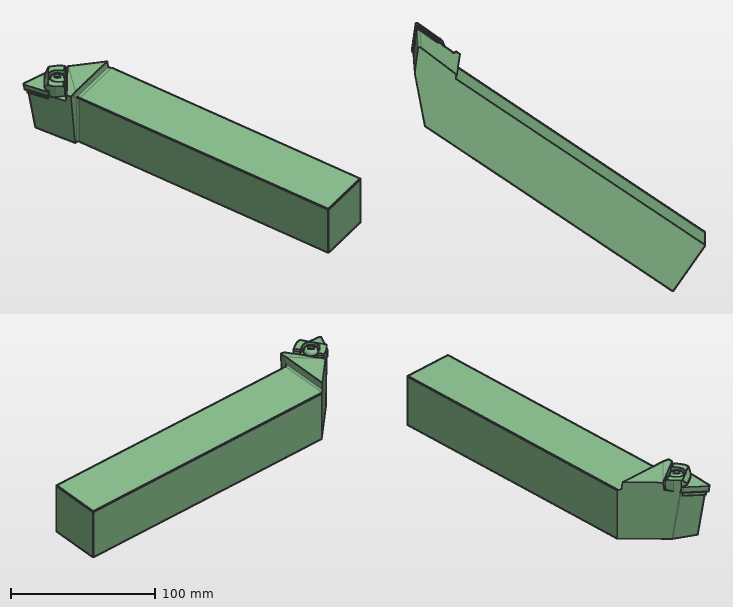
import cadquery as cq
import math

LENGTH = 250.0
SHANK_SIZE = 40.0
SHANK_CHAMFER = 0.5
NOSE_OFFSET = 10.0

HEAD_TOP = 46.2
HEAD_END = 39.2
WALL_DRAFT = 0.1
WALL_FILLET = 1.5
BACK_CORNER_X = 41.2
FLANK_INSET = 1.0
FLANK_NOSE_RADIUS = 1.2
BACK_EDGE_RADIUS = 2.0

TILT_SLOPE = 0.105
LEAD_ANGLE = 3.0
HALF_CORNER = 30.0
BISECTOR_ANGLE = LEAD_ANGLE + HALF_CORNER

INSERT_CIRCLE = 12.8
INSERT_THICKNESS = 4.8
INSERT_NOSE_RADIUS = 1.0
INSERT_HEIGHT = 1.5 * INSERT_CIRCLE
SHIM_INSET = 0.8
SHIM_THICKNESS = 3.0

POCKET_WALL = 30.2
POCKET_WALL_LEAN = 1.8
RIM_HEIGHT = 1.2

CLAMP_TOP = 48.0
CLAMP_FRONT = 15.5
CLAMP_BACK = 30.0
CLAMP_WIDTH = 22.2
CLAMP_CORNER_RADIUS = 7.5
CLAMP_BEVEL_RUN = 2.8
CLAMP_BEVEL_HEIGHT = 4.5
CLAMP_BACK_CHAMFER = 1.0
SCREW_AT = 24.5
SLOT_WIDTH = 12.5
SLOT_DEPTH = 3.5
SCREW_DIAMETER = 10.5
SCREW_DOME_RADIUS = 3.0
SOCKET_DIAMETER = 4.5
SOCKET_DEPTH = 2.5

SELECT_MARGIN = 0.2
REACH = 75.0

bisector = math.radians(BISECTOR_ANGLE)
seat_normal = cq.Vector(-TILT_SLOPE, -TILT_SLOPE, 1).normalized()
level_across = cq.Vector(-math.sin(bisector), math.cos(bisector), 0)
seat_along = level_across.cross(seat_normal).normalized()
seat_across = seat_normal.cross(seat_along)
corner_to_arc_center = 2 * INSERT_NOSE_RADIUS
corner = cq.Vector(
    INSERT_NOSE_RADIUS - corner_to_arc_center * math.cos(bisector),
    INSERT_NOSE_RADIUS - corner_to_arc_center * math.sin(bisector) - NOSE_OFFSET,
    SHANK_SIZE,
)
seat_frame = cq.Plane(corner, seat_along, seat_normal)
profile_frame = cq.Plane(corner, seat_along, -seat_across)
clamp_frame = cq.Plane(
    cq.Vector(corner.x, corner.y, CLAMP_TOP),
    cq.Vector(math.cos(bisector), math.sin(bisector), 0),
    cq.Vector(0, 0, 1),
)
clamp_profile_frame = cq.Plane(clamp_frame.origin, clamp_frame.xDir, -level_across)


def triangle_prism(inset, height, top, bottom, nose_radius):
    """Equilateral prism in the seat frame, its edges moved inward by `inset`."""
    tip = 2 * inset
    half_base = (height - tip) * math.tan(math.radians(HALF_CORNER))
    return (
        cq.Workplane(seat_frame)
        .workplane(offset=bottom)
        .polyline([(tip, 0), (height, -half_base), (height, half_base)])
        .close()
        .extrude(top - bottom)
        .edges(cq.selectors.ParallelDirSelector(seat_normal))
        .fillet(nose_radius)
    )


def make_shank():
    corner_cut = BACK_CORNER_X - HEAD_END
    outline = [
        (HEAD_END, 0),
        (LENGTH, 0),
        (LENGTH, SHANK_SIZE),
        (BACK_CORNER_X, SHANK_SIZE),
        (HEAD_END, SHANK_SIZE - corner_cut),
    ]
    return cq.Workplane("XY").polyline(outline).close().extrude(SHANK_SIZE)


def make_plan_column():
    """Upright column between the 45 degree back face and the drafted head wall."""
    back_y = HEAD_END - BACK_CORNER_X + SHANK_SIZE
    return (
        cq.Workplane("XY")
        .polyline([
            (HEAD_END, 0),
            (HEAD_END, back_y),
            (HEAD_END - REACH, back_y - REACH),
            (HEAD_END - WALL_DRAFT * REACH, -REACH),
        ])
        .close()
        .extrude(REACH)
    )


def make_head(plan_column):
    """Plan column cut to the head height and to the two tilted flanks."""
    elevation = (
        cq.Workplane("XZ")
        .polyline([
            (-REACH, 0),
            (HEAD_END, 0),
            (HEAD_END, SHANK_SIZE),
            (HEAD_END - WALL_DRAFT * (HEAD_TOP - SHANK_SIZE), HEAD_TOP),
            (-REACH, HEAD_TOP),
        ])
        .close()
        .extrude(REACH, both=True)
    )
    flanks = triangle_prism(FLANK_INSET, REACH, REACH, -REACH, FLANK_NOSE_RADIUS)
    column = plan_column.intersect(elevation).intersect(flanks)
    back_edge = column.edges(cq.selectors.ParallelDirSelector(seat_normal)).edges(
        cq.selectors.DirectionMinMaxSelector(seat_across, True)
    )
    return column.newObject(back_edge.vals()).fillet(BACK_EDGE_RADIUS)


def make_pocket():
    """Everything above the seat floor, the leaning rear wall and the sloping rim."""
    return (
        cq.Workplane(profile_frame)
        .polyline([
            (-REACH, -INSERT_THICKNESS),
            (POCKET_WALL, -INSERT_THICKNESS),
            (POCKET_WALL + POCKET_WALL_LEAN, RIM_HEIGHT),
            (REACH, RIM_HEIGHT),
            (REACH, REACH),
            (-REACH, REACH),
        ])
        .close()
        .extrude(REACH, both=True)
    )


def make_clamp(pocket, plan_column):
    """Block with a rounded, bevelled nose, filling the pocket below its level top."""
    half = CLAMP_WIDTH / 2
    nose_half = half - CLAMP_CORNER_RADIUS
    shoulder = CLAMP_FRONT + CLAMP_CORNER_RADIUS
    body = (
        cq.Workplane(clamp_frame)
        .moveTo(CLAMP_BACK, -half)
        .lineTo(CLAMP_BACK, half)
        .lineTo(shoulder, half)
        .tangentArcPoint((CLAMP_FRONT, nose_half), relative=False)
        .lineTo(CLAMP_FRONT, -nose_half)
        .tangentArcPoint((shoulder, -half), relative=False)
        .close()
        .extrude(-CLAMP_TOP)
    )
    side = (
        cq.Workplane(clamp_profile_frame)
        .polyline([
            (CLAMP_FRONT + CLAMP_BEVEL_RUN, 0),
            (CLAMP_BACK - CLAMP_BACK_CHAMFER, 0),
            (CLAMP_BACK, -CLAMP_BACK_CHAMFER),
            (CLAMP_BACK, -CLAMP_TOP),
            (CLAMP_FRONT, -CLAMP_TOP),
            (CLAMP_FRONT, -CLAMP_BEVEL_HEIGHT),
        ])
        .close()
        .extrude(CLAMP_WIDTH, both=True)
    )
    return body.intersect(side).intersect(pocket).intersect(plan_column)


def make_screw_slot():
    """Round-ended slot for the screw head, open to the back of the clamp."""
    slot_run = POCKET_WALL - SCREW_AT
    round_end = (
        cq.Workplane(clamp_frame)
        .center(SCREW_AT, 0)
        .circle(SLOT_WIDTH / 2)
        .extrude(-SLOT_DEPTH)
    )
    open_end = (
        cq.Workplane(clamp_frame)
        .center(SCREW_AT + slot_run / 2, 0)
        .rect(slot_run, SLOT_WIDTH)
        .extrude(-SLOT_DEPTH)
    )
    return round_end.union(open_end)


def make_screw_head():
    """Domed screw head standing on the slot floor, with a round socket."""
    dome = (
        cq.Workplane(clamp_frame)
        .workplane(offset=-SLOT_DEPTH)
        .center(SCREW_AT, 0)
        .circle(SCREW_DIAMETER / 2)
        .extrude(SLOT_DEPTH)
        .faces(">Z")
        .edges()
        .fillet(SCREW_DOME_RADIUS)
    )
    socket = (
        cq.Workplane(clamp_frame)
        .center(SCREW_AT, 0)
        .circle(SOCKET_DIAMETER / 2)
        .extrude(-SOCKET_DEPTH)
    )
    return dome.cut(socket)


def make_holder(insert):
    """Shank, head, shim, clamp and screw as one solid, cut to seat the insert."""
    plan_column = make_plan_column()
    pocket = make_pocket()
    head = make_head(plan_column)
    blank = make_shank().union(head)
    wall_foot = cq.selectors.BoxSelector(
        (HEAD_END - SELECT_MARGIN, -SELECT_MARGIN, SELECT_MARGIN),
        (HEAD_END + SELECT_MARGIN, SHANK_SIZE, SHANK_SIZE + SELECT_MARGIN),
    )
    blank = blank.edges(wall_foot).fillet(WALL_FILLET)
    blank = blank.faces(">X").edges("not <Z").chamfer(SHANK_CHAMFER)
    long_edges = cq.selectors.BoxSelector(
        (LENGTH / 2, -SELECT_MARGIN, SHANK_SIZE - SELECT_MARGIN),
        (LENGTH - SELECT_MARGIN, SHANK_SIZE + SELECT_MARGIN, SHANK_SIZE + SELECT_MARGIN),
    )
    blank = blank.edges(long_edges).edges("|X").chamfer(SHANK_CHAMFER)
    shim = triangle_prism(
        SHIM_INSET,
        INSERT_HEIGHT - SHIM_INSET,
        -INSERT_THICKNESS,
        -INSERT_THICKNESS - SHIM_THICKNESS,
        INSERT_NOSE_RADIUS,
    )
    clamp = make_clamp(pocket, plan_column).cut(make_screw_slot())
    return blank.cut(pocket).union(shim).union(clamp).union(make_screw_head()).cut(insert)


insert = triangle_prism(0, INSERT_HEIGHT, 0, -INSERT_THICKNESS, INSERT_NOSE_RADIUS)
holder = make_holder(insert)
result = cq.Compound.makeCompound([holder.solids().val(), insert.solids().val()])